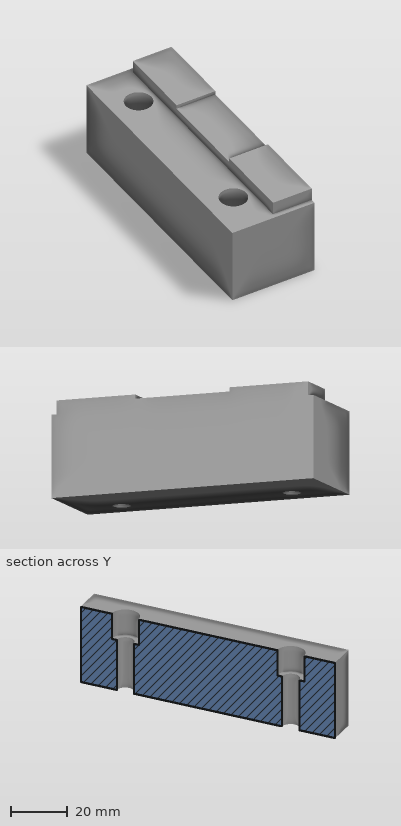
import cadquery as cq

base_length = 100.0
base_width = 34.0
base_height = 30.0

hole_spacing = 65.0
hole_front_offset = 11.0
hole_diameter = 6.6
counterbore_diameter = 10.5
counterbore_depth = 10.0

bar_length = 96.0
bar_width = 16.0
bar_height = 5.0
relief_length = 36.0
relief_depth = 1.5


def make_base():
    """Block centred in X and Y, standing on Z = 0, with two counterbored holes."""
    hole_y = hole_front_offset - base_width / 2
    hole_points = [(side * hole_spacing / 2, hole_y) for side in (-1, 1)]
    return (
        cq.Workplane("XY")
        .box(base_length, base_width, base_height, centered=(True, True, False))
        .faces(">Z")
        .workplane(origin=(0, 0, base_height))
        .pushPoints(hole_points)
        .cboreHole(hole_diameter, counterbore_diameter, counterbore_depth)
    )


def make_bar():
    """Bar on top of the base, with a shallow relief across the middle of its top."""
    bar_y = (base_width - bar_width) / 2
    bar = (
        cq.Workplane("XY", origin=(0, bar_y, base_height))
        .box(bar_length, bar_width, bar_height, centered=(True, True, False))
    )
    relief_floor = base_height + bar_height - relief_depth
    relief = (
        cq.Workplane("XY", origin=(0, bar_y, relief_floor))
        .box(relief_length, bar_width, relief_depth, centered=(True, True, False))
    )
    return bar.cut(relief)


base = make_base()
bar = make_bar()

result = cq.Compound.makeCompound([base.solids().val(), bar.solids().val()])